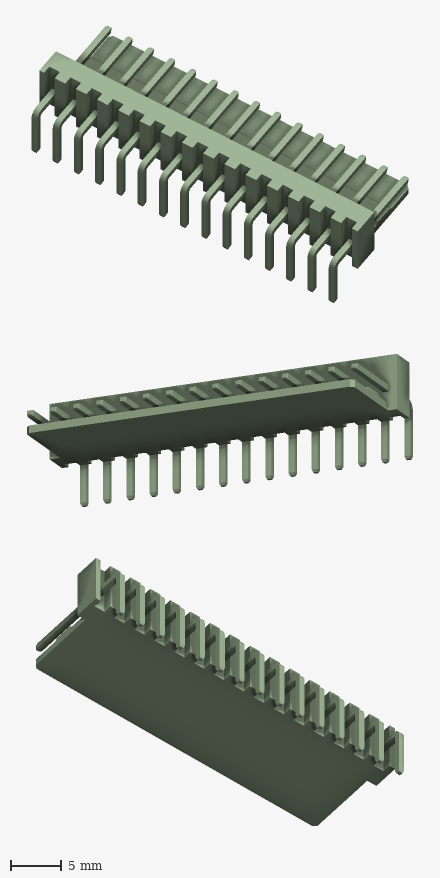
import cadquery as cq


housing_length = 38.1
housing_depth = 3.0
housing_height = 5.83

pin_count = 15
pin_pitch = housing_length / pin_count
row_offset = -0.08
pin_positions = [row_offset + (i - (pin_count - 1) / 2) * pin_pitch for i in range(pin_count)]

slot_width = pin_pitch / 2
slot_depth = 0.95

pin_size = 0.65
pin_axis_height = 2.32
pin_rear_reach = 7.92
pin_front_reach = 2.75
pin_drop = 3.45
bend_outer_radius = 0.95
bend_inner_radius = bend_outer_radius - pin_size
tip_length = 0.3
tip_inset = 0.1

plate_length = 8.35
plate_width = 35.93
plate_thickness = 0.8
plate_corner_chamfer = 0.4
ridge_height = 0.3
ridge_base_start = 2.17
ridge_base_end = 4.85


def make_housing():
    """Rectangular bar with full-height slots in its front face."""
    bar = cq.Workplane("XY").box(housing_length, housing_depth, housing_height, centered=(True, False, False))
    bar = bar.translate((0, -housing_depth, 0))
    slots = (
        cq.Workplane("XY")
        .pushPoints([(x, -housing_depth + slot_depth / 2) for x in pin_positions])
        .rect(slot_width, slot_depth)
        .extrude(housing_height)
    )
    return bar.cut(slots)


def make_plate():
    """Flat plate with chamfered rear corners and a ridge along X with 45 degree flanks."""
    profile = [
        (0, 0),
        (plate_length, 0),
        (plate_length, plate_thickness),
        (ridge_base_end, plate_thickness),
        (ridge_base_end - ridge_height, plate_thickness + ridge_height),
        (ridge_base_start + ridge_height, plate_thickness + ridge_height),
        (ridge_base_start, plate_thickness),
        (0, plate_thickness),
    ]
    plate = cq.Workplane("YZ").polyline(profile).close().extrude(plate_width / 2, both=True)
    plate = plate.edges("|Z and >Y").chamfer(plate_corner_chamfer)
    return plate.translate((row_offset, 0, 0))


def make_tip(plane):
    """Truncated pyramid that ends a pin, rising along the normal of the plane."""
    end_size = pin_size - 2 * tip_inset
    return (
        cq.Workplane(plane)
        .rect(pin_size, pin_size)
        .workplane(offset=tip_length)
        .rect(end_size, end_size)
        .loft()
    )


def make_pin():
    """Right-angle pin at X = 0: mating end along +Y, leg pointing down."""
    top = pin_axis_height + pin_size / 2
    bottom = top - pin_size
    leg_front = -housing_depth - pin_front_reach
    leg_back = leg_front + pin_size
    rear_shoulder = pin_rear_reach - tip_length
    leg_shoulder = -pin_drop + tip_length
    bend_y = leg_front + bend_outer_radius
    bend_z = top - bend_outer_radius
    shaft = (
        cq.Workplane("YZ")
        .moveTo(rear_shoulder, top)
        .lineTo(bend_y, top)
        .radiusArc((leg_front, bend_z), -bend_outer_radius)
        .lineTo(leg_front, leg_shoulder)
        .lineTo(leg_back, leg_shoulder)
        .lineTo(leg_back, bend_z)
        .radiusArc((bend_y, bottom), bend_inner_radius)
        .lineTo(rear_shoulder, bottom)
        .close()
        .extrude(pin_size / 2, both=True)
    )
    rear_plane = cq.Plane((0, rear_shoulder, pin_axis_height), (1, 0, 0), (0, 1, 0))
    leg_plane = cq.Plane((0, leg_front + pin_size / 2, leg_shoulder), (1, 0, 0), (0, 0, -1))
    return shaft.union(make_tip(rear_plane)).union(make_tip(leg_plane))


result = make_housing().union(make_plate())
pin = make_pin()
for pin_x in pin_positions:
    result = result.union(pin.translate((pin_x, 0, 0)))